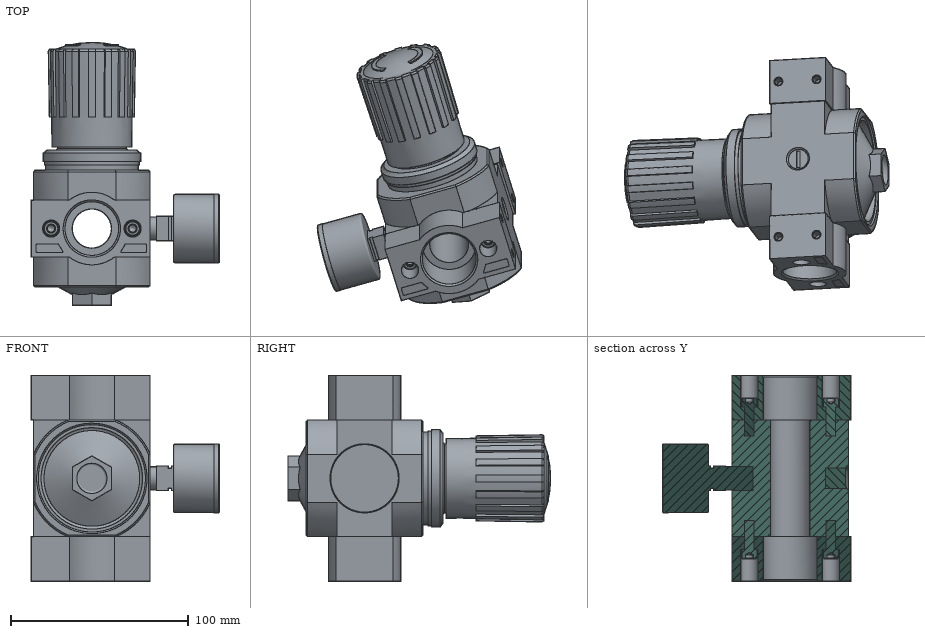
import cadquery as cq
import math


half_side = 32.9
corner_radius = 35.5
crossbar_half_width = 15.4
end_chamfer = 0.9
flow_diameter = 22.0

collar_base_radius = 52.5 / 2
collar_step_radius = 53.5 / 2
collar_radius = 55.1 / 2
collar_top_radius = 50.5 / 2
collar_base_end = 35.9
collar_step_end = 37.8
collar_rim = 42.5
collar_bevel_end = 43.4
collar_top = 44.3
neck_radius = 39.0 / 2
neck_flare = 0.7

recess_radius = 31.1
recess_chamfer = 0.9
dish_radius = 28.6
dish_wall = 1.8
dish_fillet = 1.8
cone_outer_radius = 27.0
cone_outer_depth = 4.3
cone_slope = 0.54
cone_at_face = cone_outer_radius - cone_outer_depth / cone_slope
hex_flats = 22.0
hex_end = -43.3
drain_diameter = 17.0
drain_floor_diameter = 14.5
drain_depth = 2.5

plate_top = 116.0 / 2
plate_left = -34.2
plate_half_width = 32.2 / 2
boss_diameter = 40.9
port_diameter = 30.2
port_chamfer = 1.0
tapped_diameter = 4.1
tapped_mouth_diameter = 5.0
tapped_depth = 7.4
tapped_offset = 11.0
label_top = -8.7
label_bottom = -13.5
label_inner = 16.3
label_left_end = 31.4
label_right_end = 30.8
label_arc_radius = 20.7
label_corner = 0.6
label_depth = 0.1

screw_offset = 23.0
screw_hole_diameter = 9.6
head_diameter = 8.7
head_height = 5.0
head_chamfer = 0.6
shank_diameter = 5.0
screw_seat = 40.3
shank_end = 24.0
socket_depth = 2.2

plug_diameter = 11.4
plug_mouth_diameter = 13.2
plug_chamfer = (plug_mouth_diameter - plug_diameter) / 2
plug_length = 11.9
plug_slot_length = 9.6
plug_slot_width = 1.8
plug_slot_depth = 0.7

gauge_stem_diameter = 13.2
gauge_stem_depth = 11.9
gauge_square = 14.0
gauge_square_start = 36.5
gauge_groove_start = 43.1
gauge_groove_end = 44.8
gauge_groove_height = 11.4
gauge_back = 46.0
gauge_front = 71.9
gauge_bezel_start = 68.8
gauge_diameter = 38.7
gauge_bezel_diameter = 39.0
gauge_back_fillet = 1.2
gauge_front_chamfer = 0.5

knob_bottom = 46.0
ridge_bottom = 62.8
knob_rim = 101.0
knob_top = 104.9
knob_bottom_radius = 22.5
knob_rim_radius = 23.1
ridge_bottom_radius = 24.0
ridge_top_radius = 24.6
ridge_width = 3.9
ridge_count = 16
rim_chamfer = 0.6
rim_chamfer_length = 1.2
dome_radius = 20.5
mark_radius = 15.0
mark_width = 2.7
mark_top = 103.6
mark_half_angle = 58

drill_tip_angle = math.radians(59)


def revolve_about_y(points):
    """Solid of revolution about Y from (radius, y) points."""
    return cq.Workplane("XY").polyline(points).close().revolve(360, (0, 0, 0), (0, 1, 0))


def tapped_hole_tool(depth):
    """Countersunk drill shape along Z, with its mouth on the XY plane and its point at -Z."""
    drill_radius = tapped_diameter / 2
    mouth_radius = tapped_mouth_diameter / 2
    tip = drill_radius / math.tan(drill_tip_angle)
    points = [
        (0, 0),
        (mouth_radius, 0),
        (drill_radius, drill_radius - mouth_radius),
        (drill_radius, -depth),
        (0, -depth - tip),
    ]
    return cq.Workplane("XZ").polyline(points).close().revolve(360, (0, 0, 0), (0, 1, 0))


def both_ends(shape):
    """The shape and its mirror image below the XY plane."""
    return [shape, shape.mirror("XY")]


def make_collar():
    return revolve_about_y([
        (0, half_side - end_chamfer),
        (collar_base_radius, half_side - end_chamfer),
        (collar_base_radius, collar_base_end),
        (collar_step_radius, collar_base_end),
        (collar_step_radius, collar_step_end),
        (collar_radius, collar_step_end),
        (collar_radius, collar_rim),
        (collar_base_radius, collar_bevel_end),
        (collar_top_radius, collar_top),
        (neck_radius + neck_flare, collar_top),
        (neck_radius, collar_top + neck_flare),
        (neck_radius, knob_bottom),
        (0, knob_bottom),
    ])


def make_cover_recess():
    """Ring of material removed around the cone at the -Y end."""
    face = -half_side
    shoulder = face + recess_chamfer
    cone_outer = face + cone_outer_depth
    return (
        cq.Workplane("XY")
        .moveTo(cone_at_face, face)
        .lineTo(recess_radius, face)
        .lineTo(recess_radius - recess_chamfer, shoulder)
        .lineTo(dish_radius, shoulder)
        .lineTo(dish_radius, shoulder + dish_wall)
        .radiusArc((cone_outer_radius, cone_outer), -dish_fillet)
        .close()
        .revolve(360, (0, 0, 0), (0, 1, 0))
    )


def make_hexagon_end():
    """Cone tip and hexagon standing out of the -Y end, with the drain recess."""
    face = -half_side
    tip_radius = hex_flats / 2
    tip = face - (cone_at_face - tip_radius) * cone_slope
    cone = revolve_about_y([(0, face), (cone_at_face, face), (tip_radius, tip), (0, tip)])
    hexagon = (
        cq.Workplane("XZ", origin=(0, face, 0))
        .transformed(rotate=(0, 0, 30))
        .polygon(6, hex_flats / math.cos(math.pi / 6))
        .extrude(face - hex_end)
    )
    drain = (
        cq.Workplane("XZ", origin=(0, hex_end, 0))
        .circle(drain_diameter / 2)
        .extrude(-drain_depth)
        .faces(">Y")
        .edges()
        .fillet((drain_diameter - drain_floor_diameter) / 2)
    )
    return cone.union(hexagon).cut(drain)


def make_housing():
    side = 2 * half_side
    square = cq.Workplane("XY").box(side, side, side)
    turned = (
        cq.Workplane("XZ")
        .circle(corner_radius)
        .extrude(half_side, both=True)
        .intersect(square)
        .faces("<Y or >Y")
        .chamfer(end_chamfer)
    )
    crossbar = cq.Workplane("XY").box(side, 2 * crossbar_half_width, side)
    housing = turned.union(crossbar).union(make_collar())
    housing = housing.cut(make_cover_recess()).union(make_hexagon_end())

    flow_bore = cq.Workplane("XY").circle(flow_diameter / 2).extrude(half_side, both=True)
    plug_hole = (
        cq.Workplane("YZ", origin=(-half_side, 0, 0))
        .circle(plug_mouth_diameter / 2)
        .workplane(offset=plug_chamfer)
        .circle(plug_diameter / 2)
        .loft()
        .union(make_plug_blank())
    )
    gauge_hole = (
        cq.Workplane("YZ", origin=(half_side, 0, 0))
        .circle(gauge_stem_diameter / 2)
        .extrude(-gauge_stem_depth)
    )
    housing = housing.cut(flow_bore).cut(plug_hole).cut(gauge_hole)
    for screw in make_screws():
        housing = housing.cut(screw)
    return housing


def make_label(end, side):
    """Shallow marking field; side is -1 at -X and 1 at +X."""
    field = (
        cq.Workplane("XY", origin=(0, 0, plate_top - label_depth))
        .moveTo(side * (label_inner + end) / 2, (label_top + label_bottom) / 2)
        .rect(end - label_inner, label_top - label_bottom)
        .extrude(label_depth)
        .edges("|Z")
        .fillet(label_corner)
    )
    surround = cq.Workplane("XY").circle(label_arc_radius).extrude(plate_top)
    return field.cut(surround)


def make_top_plate():
    height = plate_top - half_side
    base = cq.Workplane("XY", origin=(0, 0, half_side))
    plate = (
        base.center((plate_left + half_side) / 2, 0)
        .rect(half_side - plate_left, 2 * plate_half_width)
        .extrude(height)
        .union(base.circle(boss_diameter / 2).extrude(height))
        .cut(base.circle(port_diameter / 2).extrude(height))
    )
    mouth = (
        cq.Workplane("XY", origin=(0, 0, plate_top))
        .circle(port_diameter / 2 + port_chamfer)
        .workplane(offset=-port_chamfer)
        .circle(port_diameter / 2)
        .loft()
    )
    plate = plate.cut(mouth)
    tapped = tapped_hole_tool(tapped_depth).rotate((0, 0, 0), (0, 1, 0), -90)
    for y in (-tapped_offset, tapped_offset):
        plate = plate.cut(tapped.translate((plate_left, y, (half_side + plate_top) / 2)))
    for x in (-screw_offset, screw_offset):
        head_hole = (
            cq.Workplane("XY", origin=(x, 0, screw_seat))
            .circle(screw_hole_diameter / 2)
            .extrude(plate_top - screw_seat)
        )
        shank_hole = base.center(x, 0).circle(shank_diameter / 2).extrude(height)
        plate = plate.cut(head_hole).cut(shank_hole)
    plate = plate.cut(make_label(label_left_end, -1))
    return plate.cut(make_label(label_right_end, 1))


def make_screw(x):
    head_top = screw_seat + head_height
    head = (
        cq.Workplane("XY", origin=(x, 0, screw_seat))
        .circle(head_diameter / 2)
        .extrude(head_height)
        .faces(">Z")
        .chamfer(head_chamfer)
    )
    shank = (
        cq.Workplane("XY", origin=(x, 0, shank_end))
        .circle(shank_diameter / 2)
        .extrude(screw_seat - shank_end)
    )
    socket = tapped_hole_tool(socket_depth).translate((x, 0, head_top))
    return head.union(shank).cut(socket)


def make_screws():
    screws = []
    for x in (-screw_offset, screw_offset):
        screws += both_ends(make_screw(x))
    return screws


def make_plug_blank():
    return (
        cq.Workplane("YZ", origin=(-half_side + plug_chamfer, 0, 0))
        .circle(plug_diameter / 2)
        .extrude(plug_length)
    )


def make_plug():
    return (
        make_plug_blank()
        .faces("<X")
        .workplane(centerOption="CenterOfMass")
        .rect(plug_slot_width, plug_slot_length)
        .cutBlind(-plug_slot_depth)
    )


def make_gauge():
    stem_start = half_side - gauge_stem_depth
    stem = (
        cq.Workplane("YZ", origin=(stem_start, 0, 0))
        .circle(gauge_stem_diameter / 2)
        .extrude(gauge_square_start - stem_start)
    )
    square = (
        cq.Workplane("YZ", origin=(gauge_square_start, 0, 0))
        .rect(gauge_square, gauge_square)
        .extrude(gauge_back - gauge_square_start)
    )
    groove_centre = (gauge_square + gauge_groove_height) / 4
    groove_depth = (gauge_square - gauge_groove_height) / 2
    for z in (-groove_centre, groove_centre):
        groove = (
            cq.Workplane("YZ", origin=(gauge_groove_start, 0, z))
            .rect(gauge_square, groove_depth)
            .extrude(gauge_groove_end - gauge_groove_start)
        )
        square = square.cut(groove)
    case = (
        cq.Workplane("YZ", origin=(gauge_back, 0, 0))
        .circle(gauge_diameter / 2)
        .extrude(gauge_bezel_start - gauge_back)
        .faces("<X")
        .edges()
        .fillet(gauge_back_fillet)
    )
    bezel = (
        cq.Workplane("YZ", origin=(gauge_bezel_start, 0, 0))
        .circle(gauge_bezel_diameter / 2)
        .extrude(gauge_front - gauge_bezel_start)
        .faces(">X")
        .chamfer(gauge_front_chamfer)
    )
    return stem.union(square).union(case).union(bezel)


def make_knob_core():
    dome_height = knob_top - knob_rim
    dome_sphere_radius = (dome_radius**2 + dome_height**2) / (2 * dome_height)
    return (
        cq.Workplane("XY")
        .moveTo(0, knob_bottom)
        .lineTo(knob_bottom_radius, knob_bottom)
        .lineTo(knob_rim_radius, knob_rim - rim_chamfer_length)
        .lineTo(knob_rim_radius - rim_chamfer, knob_rim)
        .lineTo(dome_radius, knob_rim)
        .radiusArc((0, knob_top), -dome_sphere_radius)
        .close()
        .revolve(360, (0, 0, 0), (0, 1, 0))
    )


def make_turning_mark():
    """Low arc-shaped rib on the dome, centred on +X."""
    inner_radius = mark_radius - mark_width
    section = [
        (inner_radius, knob_rim),
        (mark_radius, knob_rim),
        (mark_radius, mark_top),
        (inner_radius, mark_top),
    ]
    mark = (
        cq.Workplane("XY")
        .polyline(section)
        .close()
        .revolve(2 * mark_half_angle, (0, 0, 0), (0, 1, 0))
    )
    return mark.rotate((0, 0, 0), (0, 1, 0), -mark_half_angle)


def make_knob():
    knob = make_knob_core()
    mark = make_turning_mark()
    knob = knob.union(mark).union(mark.mirror("YZ"))
    ridge_ring = revolve_about_y([
        (0, ridge_bottom),
        (ridge_bottom_radius, ridge_bottom),
        (ridge_top_radius, knob_rim - rim_chamfer_length),
        (ridge_top_radius - rim_chamfer, knob_rim),
        (0, knob_rim),
    ])
    bar = (
        cq.Workplane("XZ", origin=(0, knob_rim, 0))
        .center(0, ridge_top_radius / 2)
        .rect(ridge_width, ridge_top_radius)
        .extrude(knob_rim - ridge_bottom)
    )
    ridge = bar.intersect(ridge_ring)
    for i in range(ridge_count):
        knob = knob.union(ridge.rotate((0, 0, 0), (0, 1, 0), i * 360 / ridge_count))
    return knob


housing = make_housing()
plates = both_ends(make_top_plate())
screws = make_screws()
plug = make_plug()
gauge = make_gauge()
knob = make_knob()

bodies = [housing, *plates, *screws, plug, gauge, knob]
result = cq.Compound.makeCompound([body.val() for body in bodies])